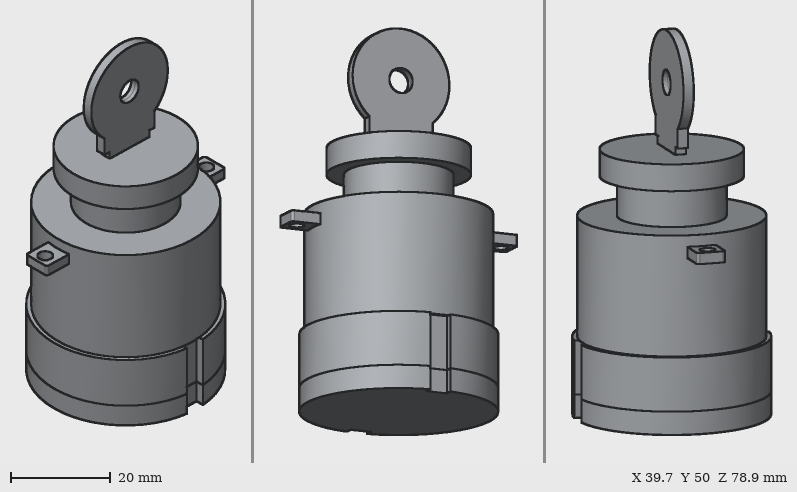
import cadquery as cq
import math

base_top = 4.8
ring_top = 15.9
housing_top = 40.75
neck_top = 48.9
knob_top = 54.4
key_top = 78.85

slot_width = 4.5
slot_depth = 1.8
slotted_span = 39.7
base_radius = math.hypot(slotted_span / 2, slot_width / 2)

housing_radius = 19.0
tab_span = 50.0
tab_width = 6.0
tab_thickness = 2.3
tab_drop = 2.4
tab_corner_radius = 0.55
tab_hole_diameter = 3.15
tab_hole_edge_distance = 2.45

neck_radius = 11.0
knob_radius = 14.5

key_thickness = 2.2
bow_radius = 10.7
bow_hole_diameter = 5.1
shoulder_width = 14.0
shank_width = 11.1
shank_height = 1.6
bow_center_z = key_top - bow_radius


def disc(radius, bottom, top):
    """Upright cylinder on the Z axis between two heights."""
    return cq.Workplane("XY").workplane(offset=bottom).circle(radius).extrude(top - bottom)


def slotted_disc(bottom, top):
    """Disc with a flat-bottomed slot on each X side."""
    slots = (
        cq.Workplane("XY")
        .workplane(offset=bottom)
        .rarray(slotted_span, 0.8, 2, 1)
        .rect(2 * slot_depth, slot_width)
        .extrude(top - bottom)
    )
    return disc(base_radius, bottom, top).cut(slots)


def make_housing():
    """Cylinder with a drilled mounting tab on each Y side."""
    hole_spacing = tab_span - 2 * tab_hole_edge_distance
    tabs = (
        cq.Workplane("XY")
        .workplane(offset=housing_top - tab_drop - tab_thickness)
        .rect(tab_width, tab_span)
        .extrude(tab_thickness)
        .edges("|Z")
        .fillet(tab_corner_radius)
        .faces(">Z")
        .workplane()
        .rarray(0.8, hole_spacing, 1, 2)
        .hole(tab_hole_diameter)
    )
    return disc(housing_radius, ring_top, housing_top).union(tabs)


def make_plug():
    """Lock plug: a neck with a wider knob on top."""
    neck = disc(neck_radius, housing_top, neck_top)
    knob = disc(knob_radius, neck_top, knob_top)
    return neck.union(knob)


def make_key():
    """Flat key in the YZ plane, standing on the knob."""
    shoulder_z = knob_top + shank_height
    bow_start_z = bow_center_z - math.sqrt(bow_radius**2 - (shoulder_width / 2) ** 2)
    outline = (
        cq.Workplane("YZ")
        .moveTo(-shank_width / 2, knob_top)
        .lineTo(shank_width / 2, knob_top)
        .lineTo(shank_width / 2, shoulder_z)
        .lineTo(shoulder_width / 2, shoulder_z)
        .lineTo(shoulder_width / 2, bow_start_z)
        .threePointArc((0, key_top), (-shoulder_width / 2, bow_start_z))
        .lineTo(-shoulder_width / 2, shoulder_z)
        .lineTo(-shank_width / 2, shoulder_z)
        .close()
    )
    bow_hole = (
        cq.Workplane("YZ")
        .center(0, bow_center_z)
        .circle(bow_hole_diameter / 2)
        .extrude(key_thickness, both=True)
    )
    return outline.extrude(key_thickness / 2, both=True).cut(bow_hole)


base = slotted_disc(0, base_top)
ring = slotted_disc(base_top, ring_top)
housing = make_housing()
plug = make_plug()
key = make_key()

result = cq.Compound.makeCompound(
    [base.val(), ring.val(), housing.val(), plug.val(), key.val()]
)